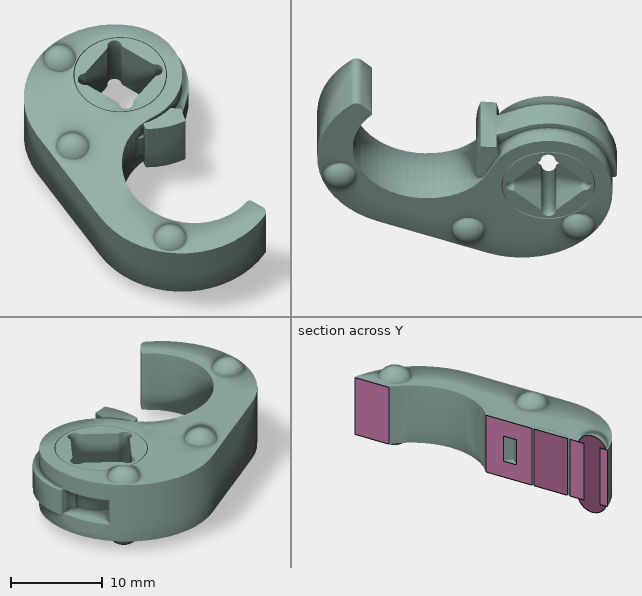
import cadquery as cq
import math

axis = (0.0, 0.0)

body_height = 7.0
slot_height = 3.0
bore_radius = 5.1
ring_radius = 6.77
heel_radius = 9.87
heel_center = (2.27, -2.17)
toe_radius = 10.5
bottom_y = heel_center[1] - heel_radius
toe_center = (15.25, bottom_y + toe_radius)

jaw_side_radius = 7.1
jaw_axis_x = 14.6
jaw_depth = 7.37
tip_angle = 23.0
tip_inner_fillet = 0.4
tip_outer_fillet = 0.8

cam_clearance = 0.1
slot_open_radius = 10.68
slot_wall_inner = (-4.25, -2.67)
slot_wall_outer = (-7.5, -3.5)
slot_far_angle = -45.0
slot_mouth_fillet = 0.6

hub_radius = 5.0
cam_radius = 7.47
cam_heel_angle = 163.5
cam_far_angle = -30.0
ramp_angle = 45.0
ramp_length = 2.37
cam_heel_fillet = 0.3
cam_heel_face_radius = 6.17
cam_ledge_angle = 168.2
cam_ledge_radius = 5.4
socket_half_width = 3.25
socket_turn = 22.5
relief_offset = 2.77
relief_radius = 0.77
relief_blend = 0.5
tooth_height = 7.0
tooth_back_radius = 7.1
tooth_back_start_angle = 18.5
tooth_back_end_angle = -11.0
tooth_shoulder = (7.45, 3.27)
tooth_root = (8.17, 3.0)
tooth_tip = (9.07, 2.77)
tooth_flank = (8.77, 0.8)
tooth_toe = (7.75, -1.55)
tooth_tip_fillet = 0.15
tooth_toe_fillet = 0.27

rivet_centers = [(-5.35, -4.5), (5.57, -9.55), (21.72, -7.05)]
rivet_shank_radius = 1.0
rivet_head_radius = 1.8
rivet_head_height = 1.2


def on_circle(center, radius, angle):
    """Point on a circle at an angle in degrees."""
    turn = math.radians(angle)
    return (center[0] + radius * math.cos(turn), center[1] + radius * math.sin(turn))


def direction(start, end):
    """Angle in degrees of the line from one point to another."""
    return math.degrees(math.atan2(end[1] - start[1], end[0] - start[0]))


def ray_hit(origin, angle, center, radius):
    """Point where a ray that starts inside a circle leaves it."""
    turn = math.radians(angle)
    dx = origin[0] - center[0]
    dy = origin[1] - center[1]
    along = dx * math.cos(turn) + dy * math.sin(turn)
    reach = -along + math.sqrt(along**2 - dx**2 - dy**2 + radius**2)
    return on_circle(origin, reach, angle)


def add_arc(path, center, radius, start_angle, end_angle):
    """Continue a path along a circle from one angle to another."""
    middle = on_circle(center, radius, (start_angle + end_angle) / 2)
    return path.threePointArc(middle, on_circle(center, radius, end_angle))


def extrude_centered(path, height):
    """Close a path and extrude it evenly to both sides of the mid-plane."""
    return path.close().extrude(height / 2, both=True)


def fillet_upright(body, point, radius):
    """Round the upright edge nearest to a plan point."""
    nearest = cq.selectors.NearestToPointSelector((point[0], point[1], 0))
    return body.edges("|Z").edges(nearest).fillet(radius)


def make_housing_blank():
    """Solid plate: ring, straight back edge and hooked jaw."""
    side_offset = jaw_axis_x - ring_radius - jaw_side_radius
    left_center = (jaw_axis_x - side_offset, 0.0)
    right_center = (jaw_axis_x + side_offset, 0.0)
    extra_depth = jaw_depth - jaw_side_radius
    bottom_center_y = (side_offset**2 - extra_depth**2) / (2 * extra_depth)
    bottom_center = (jaw_axis_x, bottom_center_y)
    bottom_radius = jaw_depth + bottom_center_y
    left_join = direction(bottom_center, left_center)
    right_join = direction(bottom_center, right_center)

    jaw_center = (jaw_axis_x, 0.0)
    tip_inner = ray_hit(jaw_center, tip_angle, right_center, jaw_side_radius)
    tip_outer = ray_hit(jaw_center, tip_angle, toe_center, toe_radius)
    ring_join = direction(heel_center, axis)

    path = cq.Workplane("XY").moveTo(ring_radius, 0)
    path = add_arc(path, axis, ring_radius, 0, ring_join)
    path = add_arc(path, heel_center, heel_radius, ring_join, 270)
    path = path.lineTo(toe_center[0], bottom_y)
    path = add_arc(path, toe_center, toe_radius, -90, direction(toe_center, tip_outer))
    path = path.lineTo(*tip_inner)
    path = add_arc(path, right_center, jaw_side_radius, direction(right_center, tip_inner), right_join)
    path = add_arc(path, bottom_center, bottom_radius, right_join, left_join)
    path = add_arc(path, left_center, jaw_side_radius, left_join, -180)
    blank = extrude_centered(path, body_height)
    blank = fillet_upright(blank, tip_inner, tip_inner_fillet)
    return fillet_upright(blank, tip_outer, tip_outer_fillet)


def make_cam_slot():
    """Mid-height pocket that clears the cam and opens through the ring's free side."""
    pocket_radius = cam_radius + cam_clearance
    wall_angle = direction(slot_wall_inner, slot_wall_outer)
    wall_end = ray_hit(slot_wall_inner, wall_angle, axis, slot_open_radius)
    path = cq.Workplane("XY").lineTo(*on_circle(axis, pocket_radius, slot_far_angle))
    path = add_arc(path, axis, pocket_radius, slot_far_angle, 90)
    path = path.lineTo(0, slot_open_radius)
    path = add_arc(path, axis, slot_open_radius, 90, direction(axis, wall_end) % 360)
    path = path.lineTo(*slot_wall_inner)
    return extrude_centered(path, slot_height)


def make_housing():
    housing = make_housing_blank().cut(make_cam_slot())
    bore = cq.Workplane("XY").circle(bore_radius).extrude(body_height / 2, both=True)
    rivet_holes = (
        cq.Workplane("XY")
        .pushPoints(rivet_centers)
        .circle(rivet_shank_radius)
        .extrude(body_height / 2, both=True)
    )
    housing = housing.cut(bore).cut(rivet_holes)
    wall_angle = direction(slot_wall_inner, slot_wall_outer)
    mouth = ray_hit(slot_wall_inner, wall_angle, heel_center, heel_radius)
    return fillet_upright(housing, mouth, slot_mouth_fillet)


def make_cam_sector():
    """Sector whose heel face curves down to a small ledge beside the hub."""
    path = cq.Workplane("XY").lineTo(*on_circle(axis, cam_radius, cam_far_angle))
    path = add_arc(path, axis, cam_radius, cam_far_angle, cam_heel_angle)
    path = path.lineTo(*on_circle(axis, cam_heel_face_radius, cam_heel_angle))
    ledge_corner = on_circle(axis, cam_ledge_radius, cam_ledge_angle)
    path = path.tangentArcPoint(ledge_corner, relative=False)
    sector = extrude_centered(path, slot_height)
    heel_corner = on_circle(axis, cam_radius, cam_heel_angle)
    return fillet_upright(sector, heel_corner, cam_heel_fillet)


def make_ramp():
    """Straight tangent run from the cam sector up to the tooth."""
    ramp_start = on_circle(axis, cam_radius, ramp_angle)
    ramp_end = on_circle(ramp_start, ramp_length, ramp_angle - 90)
    path = cq.Workplane("XY").lineTo(*ramp_start).lineTo(*ramp_end)
    path = path.threePointArc(tooth_shoulder, tooth_root).lineTo(*tooth_flank)
    return extrude_centered(path, slot_height)


def make_tooth():
    back_start = on_circle(axis, tooth_back_radius, tooth_back_start_angle)
    path = cq.Workplane("XY").moveTo(*tooth_shoulder).lineTo(*tooth_root).lineTo(*tooth_tip)
    path = path.threePointArc(tooth_flank, tooth_toe)
    path = path.lineTo(*on_circle(axis, tooth_back_radius, tooth_back_end_angle))
    path = add_arc(path, axis, tooth_back_radius, tooth_back_end_angle, tooth_back_start_angle)
    tooth = extrude_centered(path, tooth_height)
    tooth = fillet_upright(tooth, tooth_tip, tooth_tip_fillet)
    return fillet_upright(tooth, tooth_toe, tooth_toe_fillet)


def make_socket():
    """Square socket with a round relief in each corner."""
    width = 2 * socket_half_width
    square = cq.Workplane("XY").rect(width, width).extrude(body_height / 2, both=True)
    reliefs = (
        cq.Workplane("XY")
        .rect(2 * relief_offset, 2 * relief_offset, forConstruction=True)
        .vertices()
        .circle(relief_radius)
        .extrude(body_height / 2, both=True)
    )
    socket = square.union(reliefs).edges("|Z").fillet(relief_blend)
    return socket.rotate((0, 0, 0), (0, 0, 1), socket_turn)


def make_rotor():
    hub = cq.Workplane("XY").circle(hub_radius).extrude(body_height / 2, both=True)
    cam = make_cam_sector().union(make_ramp()).union(make_tooth())
    return hub.union(cam).cut(make_socket())


def make_rivet(center):
    """Shank with a domed head at each end, turned about its own axis."""
    seat = body_height / 2
    crown = seat + rivet_head_height
    dome_radius = (rivet_head_radius**2 + rivet_head_height**2) / (2 * rivet_head_height)
    dome_center = crown - dome_radius
    half_spread = math.asin(rivet_head_radius / dome_radius) / 2
    shoulder_x = dome_radius * math.sin(half_spread)
    shoulder_z = dome_center + dome_radius * math.cos(half_spread)
    profile = (
        cq.Workplane("XZ")
        .moveTo(0, -crown)
        .threePointArc((shoulder_x, -shoulder_z), (rivet_head_radius, -seat))
        .lineTo(rivet_shank_radius, -seat)
        .lineTo(rivet_shank_radius, seat)
        .lineTo(rivet_head_radius, seat)
        .threePointArc((shoulder_x, shoulder_z), (0, crown))
        .close()
    )
    return profile.revolve(360, (0, 0), (0, 1)).translate((center[0], center[1], 0))


housing = make_housing()
rotor = make_rotor()
rivets = [make_rivet(center) for center in rivet_centers]

result = cq.Compound.makeCompound(
    [housing.solids().val(), rotor.solids().val(), *[rivet.val() for rivet in rivets]]
)